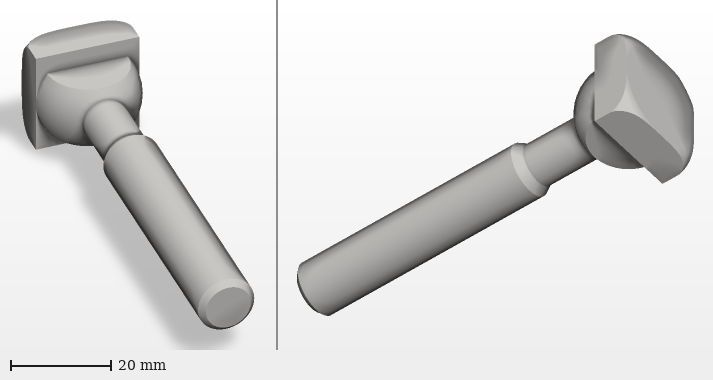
import cadquery as cq
import math

total_length = 88.0
head_width = 22.0
head_thickness = 8.0
corner_rounding = 4.5
collar_thickness = 13.7
neck_diameter = 9.5
shank_diameter = 12.0
shank_start = 33.0
shoulder_angle = 30.0
tip_chamfer = 1.2


def revolve_about_x(profile):
    """Turn a closed (x, radius) outline around the X axis."""
    return profile.close().revolve(360, (0, 0, 0), (1, 0, 0))


def make_head():
    """Square head whose front corners are rounded about the X axis."""
    block = cq.Workplane("YZ").rect(head_width, head_width).extrude(head_thickness)
    corner_radius = head_width / math.sqrt(2)
    rounded_disc = (
        cq.Workplane("YZ")
        .circle(corner_radius)
        .extrude(head_thickness)
        .faces("<X")
        .edges()
        .fillet(corner_rounding)
    )
    return block.intersect(rounded_disc)


def make_collar():
    """Half ball centred on the inner head face, flattened at top and bottom."""
    ball_radius = head_width / 2
    ball = cq.Workplane("XY").sphere(ball_radius).translate((head_thickness, 0, 0))
    slab = (
        cq.Workplane("XY")
        .box(ball_radius, head_width, collar_thickness, centered=(False, True, True))
        .translate((head_thickness, 0, 0))
    )
    return ball.intersect(slab)


def make_shank():
    """Neck, conical shoulder and shank with a chamfered tip."""
    neck_radius = neck_diameter / 2
    shank_radius = shank_diameter / 2
    shoulder_length = (shank_radius - neck_radius) / math.tan(math.radians(shoulder_angle))
    return revolve_about_x(
        cq.Workplane("XY")
        .moveTo(head_thickness, 0)
        .lineTo(head_thickness, neck_radius)
        .lineTo(shank_start - shoulder_length, neck_radius)
        .lineTo(shank_start, shank_radius)
        .lineTo(total_length - tip_chamfer, shank_radius)
        .lineTo(total_length, shank_radius - tip_chamfer)
        .lineTo(total_length, 0)
    )


result = make_head().union(make_collar()).union(make_shank())